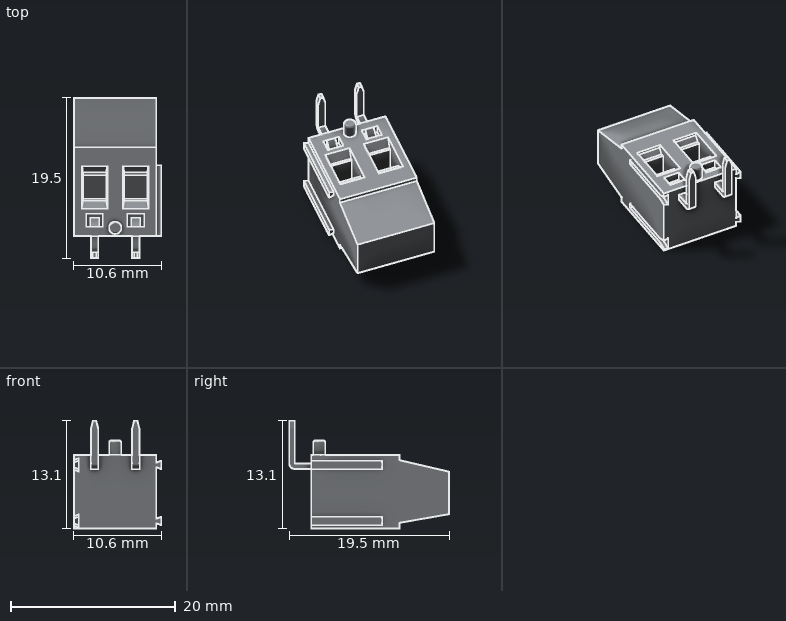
import cadquery as cq


PITCH = 5.0
POLES = 2
BODY_WIDTH = POLES * PITCH
OVERALL_LENGTH = 19.45
BODY_LENGTH = 10.75
BODY_HEIGHT = 8.93
POLE_CENTERS = [(pole + 0.5) * PITCH for pole in range(POLES)]

NOSE_LENGTH = 6.01
NOSE_ROOT_BOTTOM = 0.68
NOSE_ROOT_TOP = 8.3
NOSE_TIP_BOTTOM = 1.73
NOSE_TIP_TOP = 6.9

DOVETAIL_LOW_Z = 0.91
DOVETAIL_SPACING = 6.8
DOVETAIL_HEIGHTS = [DOVETAIL_LOW_Z, DOVETAIL_LOW_Z + DOVETAIL_SPACING]
DOVETAIL_LENGTH = 8.62
DOVETAIL_DEPTH = 0.6
DOVETAIL_NECK = 0.6
DOVETAIL_FLARE = 0.21
GROOVE_MOUTH_NECK = 1.19
GROOVE_MOUTH_LENGTH = 1.0

FUNNEL_WIDTH = 3.15
FUNNEL_FRONT_Y = 3.33
FUNNEL_BACK_Y = 8.45
FUNNEL_DEPTH = 0.9
FUNNEL_RIM = 0.39
LEDGE_FRONT_Y = 4.25
LEDGE_BACK_Y = 7.76
WELL_WIDTH = 2.8
WELL_FRONT_Y = 4.55
WELL_BACK_Y = 7.37
WELL_DEPTH = 3.89

POCKET_WIDTH = 2.02
POCKET_FRONT_Y = 1.15
POCKET_BACK_Y = 2.68
POCKET_DEPTH = 1.1
WEDGE_WIDTH = 1.09
WEDGE_LENGTH = 1.07
WEDGE_HEIGHT = 1.07

PIN_WIDTH = 0.91
PIN_THICKNESS = 0.7
PIN_REACH = OVERALL_LENGTH - BODY_LENGTH - NOSE_LENGTH
PIN_BOTTOM_Z = 7.22
PIN_TOP_Z = 13.1
PIN_TIP_WIDTH = 0.4
PIN_TIP_LENGTH = 1.0
PIN_EMBED = 0.58

PEG_DIAMETER = 1.5
PEG_Y = 1.0
PEG_HEIGHT = 1.77
PEG_ROUNDING = 0.3


def box(x_range, y_range, z_range):
    """Axis-aligned box between the given limits."""
    sizes = [high - low for low, high in (x_range, y_range, z_range)]
    corner = (x_range[0], y_range[0], z_range[0])
    return cq.Workplane("XY").box(*sizes, centered=False).translate(corner)


def side_extrusion(points, center_x, width):
    """Outline in Y and Z, extruded along X evenly about center_x."""
    plane = cq.Workplane("YZ", origin=(center_x, 0, 0))
    return plane.polyline(points).close().extrude(width / 2, both=True)


def centered_span(center, width):
    return center - width / 2, center + width / 2


def make_housing():
    back = BODY_LENGTH + NOSE_LENGTH
    outline = [
        (0, 0),
        (BODY_LENGTH, 0),
        (BODY_LENGTH, NOSE_ROOT_BOTTOM),
        (back, NOSE_TIP_BOTTOM),
        (back, NOSE_TIP_TOP),
        (BODY_LENGTH, NOSE_ROOT_TOP),
        (BODY_LENGTH, BODY_HEIGHT),
        (0, BODY_HEIGHT),
    ]
    return side_extrusion(outline, BODY_WIDTH / 2, BODY_WIDTH)


def dovetail_wire(x, y, center_z, neck):
    """Dovetail section at depth y, narrow at x and wider towards +X."""
    narrow = neck / 2
    wide = narrow + DOVETAIL_FLARE
    corners = [
        (x, y, center_z - narrow),
        (x + DOVETAIL_DEPTH, y, center_z - wide),
        (x + DOVETAIL_DEPTH, y, center_z + wide),
        (x, y, center_z + narrow),
    ]
    return cq.Wire.makePolygon([cq.Vector(*corner) for corner in corners], close=True)


def dovetail_prism(x, center_z, y_start, y_end, neck_start, neck_end):
    start = dovetail_wire(x, y_start, center_z, neck_start)
    end = dovetail_wire(x, y_end, center_z, neck_end)
    return cq.Workplane(obj=cq.Solid.makeLoft([start, end], True))


def make_tongue(center_z):
    return dovetail_prism(BODY_WIDTH, center_z, 0, DOVETAIL_LENGTH, DOVETAIL_NECK, DOVETAIL_NECK)


def make_groove(center_z):
    channel = dovetail_prism(0, center_z, 0, DOVETAIL_LENGTH, DOVETAIL_NECK, DOVETAIL_NECK)
    mouth = dovetail_prism(0, center_z, 0, GROOVE_MOUTH_LENGTH, GROOVE_MOUTH_NECK, DOVETAIL_NECK)
    return channel.union(mouth)


def make_wire_entry(center_x):
    ledge_z = BODY_HEIGHT - FUNNEL_DEPTH
    lengthwise = [
        (FUNNEL_FRONT_Y, BODY_HEIGHT),
        (LEDGE_FRONT_Y, ledge_z),
        (LEDGE_BACK_Y, ledge_z),
        (FUNNEL_BACK_Y, BODY_HEIGHT - FUNNEL_RIM),
        (FUNNEL_BACK_Y, BODY_HEIGHT),
    ]
    crosswise = [
        (center_x - FUNNEL_WIDTH / 2, BODY_HEIGHT),
        (center_x - WELL_WIDTH / 2, ledge_z),
        (center_x + WELL_WIDTH / 2, ledge_z),
        (center_x + FUNNEL_WIDTH / 2, BODY_HEIGHT),
    ]
    side_walls = cq.Workplane("XZ").polyline(crosswise).close().extrude(-BODY_LENGTH)
    funnel = side_extrusion(lengthwise, center_x, FUNNEL_WIDTH).intersect(side_walls)
    well = box(
        centered_span(center_x, WELL_WIDTH),
        (WELL_FRONT_Y, WELL_BACK_Y),
        (ledge_z - WELL_DEPTH, ledge_z),
    )
    return funnel.union(well)


def make_pocket(center_x):
    floor_z = BODY_HEIGHT - POCKET_DEPTH
    pocket = box(
        centered_span(center_x, POCKET_WIDTH),
        (POCKET_FRONT_Y, POCKET_BACK_Y),
        (floor_z, BODY_HEIGHT),
    )
    wedge_outline = [
        (POCKET_FRONT_Y, floor_z),
        (POCKET_FRONT_Y + WEDGE_LENGTH, floor_z),
        (POCKET_FRONT_Y, floor_z + WEDGE_HEIGHT),
    ]
    return pocket.cut(side_extrusion(wedge_outline, center_x, WEDGE_WIDTH))


def make_pin(center_x):
    inner_y = PIN_THICKNESS - PIN_REACH
    leg_top_z = PIN_BOTTOM_Z + PIN_THICKNESS
    bend = (
        cq.Workplane("YZ", origin=(center_x, 0, 0))
        .moveTo(PIN_EMBED, PIN_BOTTOM_Z)
        .lineTo(inner_y, PIN_BOTTOM_Z)
        .radiusArc((-PIN_REACH, leg_top_z), PIN_THICKNESS)
        .lineTo(-PIN_REACH, PIN_TOP_Z)
        .lineTo(inner_y, PIN_TOP_Z)
        .lineTo(inner_y, leg_top_z)
        .lineTo(PIN_EMBED, leg_top_z)
        .close()
        .extrude(PIN_WIDTH / 2, both=True)
    )
    shoulder_z = PIN_TOP_Z - PIN_TIP_LENGTH
    pointed_outline = [
        (center_x - PIN_WIDTH / 2, PIN_BOTTOM_Z),
        (center_x - PIN_WIDTH / 2, shoulder_z),
        (center_x - PIN_TIP_WIDTH / 2, PIN_TOP_Z),
        (center_x + PIN_TIP_WIDTH / 2, PIN_TOP_Z),
        (center_x + PIN_WIDTH / 2, shoulder_z),
        (center_x + PIN_WIDTH / 2, PIN_BOTTOM_Z),
    ]
    blank_depth = PIN_REACH + PIN_EMBED
    pointed = cq.Workplane("XZ").polyline(pointed_outline).close().extrude(blank_depth, both=True)
    return bend.intersect(pointed)


def make_peg():
    plane = cq.Workplane("XY", origin=(BODY_WIDTH / 2, PEG_Y, BODY_HEIGHT))
    return plane.circle(PEG_DIAMETER / 2).extrude(PEG_HEIGHT).faces(">Z").edges().fillet(PEG_ROUNDING)


result = make_housing()
for height in DOVETAIL_HEIGHTS:
    result = result.union(make_tongue(height)).cut(make_groove(height))
for center in POLE_CENTERS:
    result = result.cut(make_wire_entry(center)).cut(make_pocket(center)).union(make_pin(center))
result = result.union(make_peg())